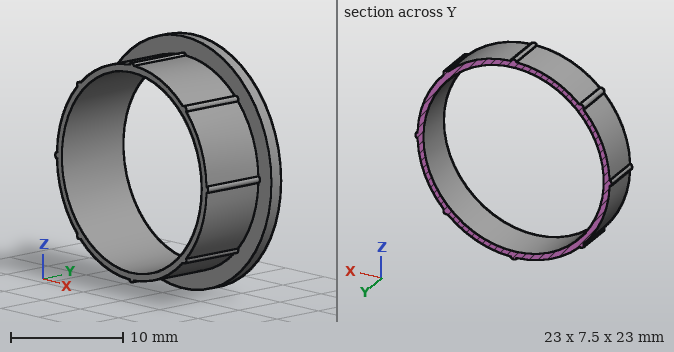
import cadquery as cq

flange_diameter = 23.0
total_length = 7.5
flange_thickness = 1.2
bore_diameter = 18.28

sleeve_diameter = 19.6
rib_count = 8
rib_tip_radius = 10.0
rib_radius = 0.32
rib_center_radius = rib_tip_radius - rib_radius


def cylinder(diameter, length):
    """Cylinder on the Y axis, from the free end of the sleeve at Y = 0 towards +Y."""
    return cq.Workplane("XZ").circle(diameter / 2).extrude(-length)


def make_flange():
    sleeve_length = total_length - flange_thickness
    return cylinder(flange_diameter, flange_thickness).translate((0, sleeve_length, 0))


def make_ribs():
    """Round rods sunk into the sleeve wall, running along its full length into the flange."""
    return (
        cq.Workplane("XZ")
        .polarArray(rib_center_radius, 0, 360, rib_count)
        .circle(rib_radius)
        .extrude(-total_length)
    )


sleeve = cylinder(sleeve_diameter, total_length)
bore = cylinder(bore_diameter, total_length)

result = sleeve.union(make_flange()).union(make_ribs()).cut(bore)